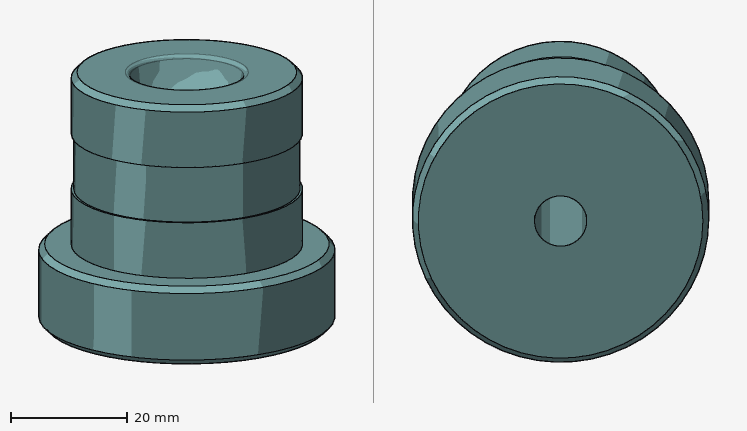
import cadquery as cq
import math

flange_diameter = 51.0
flange_height = 14.0
edge_chamfer = 1.0

shank_diameter = 39.85
relief_diameter = 38.95
total_height = 45.0
lower_land_length = 10.0
relief_length = 9.95
relief_bottom = flange_height + lower_land_length

bore_diameter = 9.0
bowl_radius = 15.0
bowl_center_r = -4.8
bowl_center_rise = 2.85
mouth_round = 0.8
throat_round = 4.1


def make_body():
    """Round flange and shank, with chamfered outer rims."""
    flange = cq.Workplane("XY").circle(flange_diameter / 2).extrude(flange_height)
    flange = flange.edges().chamfer(edge_chamfer)
    shank = cq.Workplane("XY").circle(shank_diameter / 2).extrude(total_height)
    shank = shank.faces(">Z").edges().chamfer(edge_chamfer)
    return flange.union(shank)


def make_relief():
    """Ring that is removed from the middle of the shank."""
    return (
        cq.Workplane("XY", origin=(0, 0, relief_bottom))
        .circle(flange_diameter / 2)
        .circle(relief_diameter / 2)
        .extrude(relief_length)
    )


def arc_point(center, radius, angle):
    """Point (r, z) on an arc at the given angle from the outward radial direction."""
    return center[0] + radius * math.cos(angle), center[1] + radius * math.sin(angle)


def make_cavity():
    """Revolved bore, rounded throat, concave bowl and rounded mouth."""
    bore_radius = bore_diameter / 2
    bowl_center = (bowl_center_r, total_height + bowl_center_rise)

    mouth_z = total_height - mouth_round
    mouth_reach = bowl_radius + mouth_round
    mouth_angle = math.asin((mouth_z - bowl_center[1]) / mouth_reach)
    mouth_center = arc_point(bowl_center, mouth_reach, mouth_angle)

    throat_r = bore_radius + throat_round
    throat_reach = bowl_radius + throat_round
    throat_angle = -math.acos((throat_r - bowl_center[0]) / throat_reach)
    throat_center = arc_point(bowl_center, throat_reach, throat_angle)

    throat_middle_angle = math.pi + throat_angle / 2
    mouth_middle_angle = (mouth_angle + math.pi + math.pi / 2) / 2
    bowl_middle_angle = (throat_angle + mouth_angle) / 2

    return (
        cq.Workplane("XZ")
        .lineTo(bore_radius, 0)
        .lineTo(bore_radius, throat_center[1])
        .threePointArc(
            arc_point(throat_center, throat_round, throat_middle_angle),
            arc_point(bowl_center, bowl_radius, throat_angle),
        )
        .threePointArc(
            arc_point(bowl_center, bowl_radius, bowl_middle_angle),
            arc_point(bowl_center, bowl_radius, mouth_angle),
        )
        .threePointArc(
            arc_point(mouth_center, mouth_round, mouth_middle_angle),
            (mouth_center[0], total_height),
        )
        .lineTo(0, total_height)
        .close()
        .revolve(360, (0, 0, 0), (0, 1, 0))
    )


result = make_body().cut(make_relief()).cut(make_cavity())